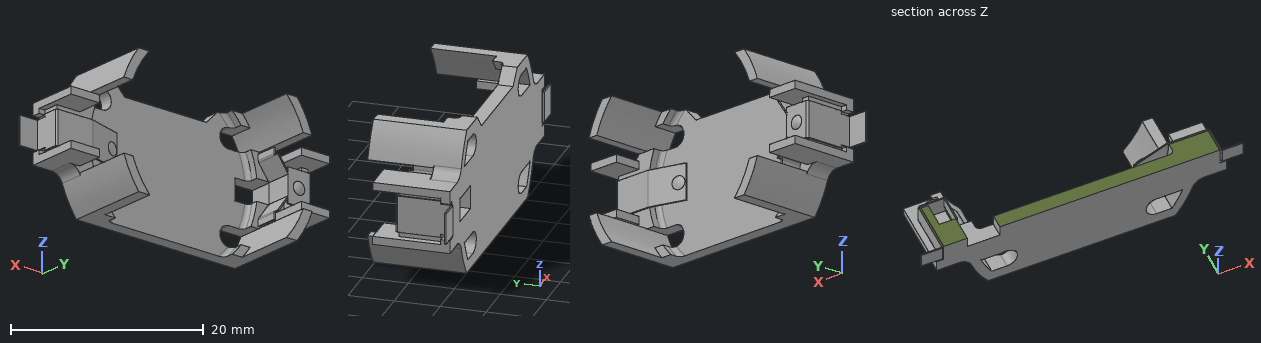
import cadquery as cq
import math


floor_height = 1.65
rim_height = 2.97
post_height = 10.15
end_floor_height = 1.03
end_wall_height = 5.75
left_flange_height = 8.4
right_flange_height = 6.2

half_width = 16.1 / 2
post_outer_radius = 13.4
cell_radius = 12.25
recess_radius = 11.25
recess_fillet = 0.5
tab_half_length = 16.55
tab_half_width = 3.5
tab_fillet = 1.5
post_lowest_z = 4.25
notch_top_half_length = 7.0
notch_bottom_half_length = 5.5
notch_z = 6.5

flange_inner_x = 12.7
flange_inner_z = 5.17 / 2
end_face_x = 15.78
end_wall_thickness = 0.88
end_notch_half_width = 4.07 / 2

slot_top_z = 6.68
slot_bottom_z = 4.3
slot_inner_x = 7.35
window_outer_x = 13.03
window_inner_x = 9.35
window_half_width = 1.3

sheet = 0.202
foot_end_x = 18.35
foot_bottom = -0.15
foot_half_width = 3.4 / 2
shoulder_height = 1.2
strip_half_width = end_notch_half_width
strip_top = 6.1
blade_inner_x = 12.85
blade_flat_half_width = 1.2
wing_x = 11.6
wing_bend_z = 3.2
wing_half_width = 4.05
wing_height = 5.55
wing_bend_radius = 0.35
tongue_ramp_x = 11.1
tongue_tip_x = 6.75
tongue_tip_top = 1.9

bump_radius = 0.77
side_bump_height = 0.22
side_bump_x = 14.3
tongue_bump_x = 7.6
tongue_bump_height = 0.1

edge_tolerance = 0.05


def upright(y_start=0.0):
    """Sketch plane in X and Z at the given height; extrude by a negative length to go up +Y."""
    return cq.Workplane("XZ", origin=(0, y_start, 0))


def block(x_min, x_max, y_min, y_max, z_min, z_max):
    """Box between the given limits."""
    size = (x_max - x_min, y_max - y_min, z_max - z_min)
    return cq.Workplane("XY").box(*size, centered=False).translate((x_min, y_min, z_min))



def base_plate():
    """Round-ended body, two end tabs and the blends between them, up to the rim."""
    disc = upright().circle(post_outer_radius).extrude(-rim_height)
    disc = disc.intersect(block(-tab_half_length, tab_half_length, 0, rim_height, -half_width, half_width))
    tabs = block(-tab_half_length, tab_half_length, 0, rim_height, -tab_half_width, tab_half_width)
    plate = disc.union(tabs)
    corner_x = math.sqrt(post_outer_radius**2 - tab_half_width**2)
    corners = plate.edges("|Y").filter(
        lambda edge: abs(abs(edge.Center().x) - corner_x) < edge_tolerance
        and abs(abs(edge.Center().z) - tab_half_width) < edge_tolerance
    )
    return plate.newObject(corners.vals()).fillet(tab_fillet)


def posts():
    """Four curved posts that surround the cell."""
    ring = upright().circle(post_outer_radius).circle(cell_radius).extrude(-post_height)
    upper = block(-post_outer_radius, post_outer_radius, 0, post_height, post_lowest_z, half_width)
    return ring.intersect(upper.union(upper.mirror("XY")))


def end_flanges(side, height):
    """Pair of upright walls along the edges of one end tab."""
    x_min, x_max = sorted((side * flange_inner_x, side * tab_half_length))
    flange = block(x_min, x_max, 0, height, flange_inner_z, tab_half_width)
    return flange.union(flange.mirror("XY"))


def end_wall():
    """Cross wall between the left flanges that carries the side contact."""
    return block(-end_face_x, -end_face_x + end_wall_thickness, 0, end_wall_height,
                 -flange_inner_z, flange_inner_z)


def cell_recess():
    """Round recess in the middle, filleted where it meets the floor."""
    recess = upright(floor_height).circle(recess_radius).extrude(-(post_height - floor_height))
    return recess.faces("<Y").edges().fillet(recess_fillet)


def end_cutout(side):
    """Step between the flanges and the narrower notch that clears the contact foot."""
    x_min, x_max = sorted((side * end_face_x, side * tab_half_length))
    step = block(x_min, x_max, end_floor_height, post_height, -flange_inner_z, flange_inner_z)
    notch = block(x_min, x_max, 0, end_floor_height, -end_notch_half_width, end_notch_half_width)
    return step.union(notch)


def corner_slot():
    """Slot at +X, +Z: round inner end, outer end following the cell."""
    end_radius = (slot_top_z - slot_bottom_z) / 2
    round_x = slot_inner_x + end_radius
    middle_z = (slot_top_z + slot_bottom_z) / 2
    slot = (
        upright()
        .moveTo(round_x, slot_bottom_z)
        .lineTo(cell_radius, slot_bottom_z)
        .lineTo(cell_radius, slot_top_z)
        .lineTo(round_x, slot_top_z)
        .threePointArc((slot_inner_x, middle_z), (round_x, slot_bottom_z))
        .close()
        .extrude(-rim_height)
    )
    return slot.intersect(upright().circle(cell_radius).extrude(-rim_height))


def edge_notch():
    """Tapered notch in the upper long side."""
    outline = [
        (-notch_top_half_length, half_width),
        (-notch_bottom_half_length, notch_z),
        (notch_bottom_half_length, notch_z),
        (notch_top_half_length, half_width),
    ]
    return upright().polyline(outline).close().extrude(-rim_height)


def make_housing():
    """Plate, posts, flanges and end wall, with the recess and all openings cut."""
    body = base_plate().union(posts())
    body = body.union(end_flanges(-1, left_flange_height)).union(end_flanges(1, right_flange_height))
    body = body.cut(cell_recess()).union(end_wall())
    for side in (-1, 1):
        body = body.cut(end_cutout(side))
    upper_slot = corner_slot()
    upper_slots = upper_slot.union(upper_slot.mirror("YZ"))
    body = body.cut(upper_slots).cut(upper_slots.mirror("XY"))
    window = block(-window_outer_x, -window_inner_x, 0, rim_height, -window_half_width, window_half_width)
    return body.cut(window).cut(edge_notch())



def bent_strip(profile):
    """Strip with the given X-Y profile, narrowed to the foot width below the shoulders."""
    strip = cq.Workplane("XY").polyline(profile).close().extrude(strip_half_width, both=True)
    margin = block(-foot_end_x, foot_end_x, foot_bottom, shoulder_height, foot_half_width, strip_half_width)
    return strip.cut(margin).cut(margin.mirror("XY"))


def side_blade():
    """Upright spring blade whose two wings bend in to press on the rim of the cell."""
    back_x = blade_inner_x + sheet
    outer_face = [
        (-wing_x, -wing_half_width),
        (-wing_x, -wing_bend_z),
        (-back_x, -blade_flat_half_width),
        (-back_x, blade_flat_half_width),
        (-wing_x, wing_bend_z),
        (-wing_x, wing_half_width),
    ]
    inner_face = [(x + sheet, z) for x, z in reversed(outer_face)]
    blade = upright(rim_height).polyline(outer_face + inner_face).close().extrude(rim_height - strip_top)
    bends = blade.edges("|Y").filter(lambda edge: abs(abs(edge.Center().z) - wing_bend_z) < sheet)
    blade = blade.newObject(bends.vals()).fillet(wing_bend_radius)
    above_wing = block(-blade_inner_x, 0, wing_height, strip_top, wing_bend_z, wing_half_width)
    return blade.cut(above_wing).cut(above_wing.mirror("XY"))


def make_side_contact():
    """Left contact: foot, riser outside the end wall, strip over the wall, side blade."""
    outer_x = end_face_x + sheet
    foot_top = foot_bottom + sheet
    strip_bottom = strip_top - sheet
    profile = [
        (-foot_end_x, foot_bottom),
        (-outer_x, foot_bottom),
        (-end_face_x, foot_top),
        (-end_face_x, strip_bottom),
        (-blade_inner_x, strip_bottom),
        (-blade_inner_x, strip_top),
        (-end_face_x, strip_top),
        (-outer_x, strip_bottom),
        (-outer_x, foot_top),
        (-foot_end_x, foot_top),
    ]
    return bent_strip(profile).union(side_blade())


def make_tongue_contact():
    """Right contact: foot, riser, strip along the rim and a tongue that slopes down to the floor."""
    outer_x = end_face_x + sheet
    foot_top = foot_bottom + sheet
    rim_strip_top = rim_height + sheet
    profile = [
        (foot_end_x, foot_bottom),
        (outer_x, foot_bottom),
        (end_face_x, foot_top),
        (end_face_x, rim_height),
        (tongue_ramp_x, rim_height),
        (tongue_tip_x, tongue_tip_top - sheet),
        (tongue_tip_x, tongue_tip_top),
        (tongue_ramp_x, rim_strip_top),
        (end_face_x, rim_strip_top),
        (outer_x, rim_height),
        (outer_x, foot_top),
        (foot_end_x, foot_top),
    ]
    return bent_strip(profile)


def make_bump(x, y, slope, height):
    """Domed contact point standing on a sheet that rises along X with the given slope."""
    half_chord = bump_radius * math.sqrt(0.5)
    sphere_radius = (bump_radius**2 + height**2) / (2 * height)
    half_chord_height = math.sqrt(sphere_radius**2 - half_chord**2) - (sphere_radius - height)
    length = math.hypot(1, slope)
    across = cq.Plane(origin=(x, y, 0), xDir=(1 / length, slope / length, 0), normal=(0, 0, 1))
    return (
        cq.Workplane(across)
        .lineTo(bump_radius, 0)
        .threePointArc((half_chord, half_chord_height), (0, height))
        .close()
        .revolve(360, (0, 0), (0, 1))
    )


housing = make_housing()
side_contact = make_side_contact()
tongue_contact = make_tongue_contact()

tongue_slope = (rim_height + sheet - tongue_tip_top) / (tongue_ramp_x - tongue_tip_x)
tongue_bump_y = tongue_tip_top + tongue_slope * (tongue_bump_x - tongue_tip_x)
side_bump = make_bump(-side_bump_x, strip_top, 0, side_bump_height)
tongue_bump = make_bump(tongue_bump_x, tongue_bump_y, tongue_slope, tongue_bump_height)

result = cq.Compound.makeCompound([
    housing.val(),
    side_contact.val(),
    tongue_contact.val(),
    side_bump.val(),
    tongue_bump.val(),
])